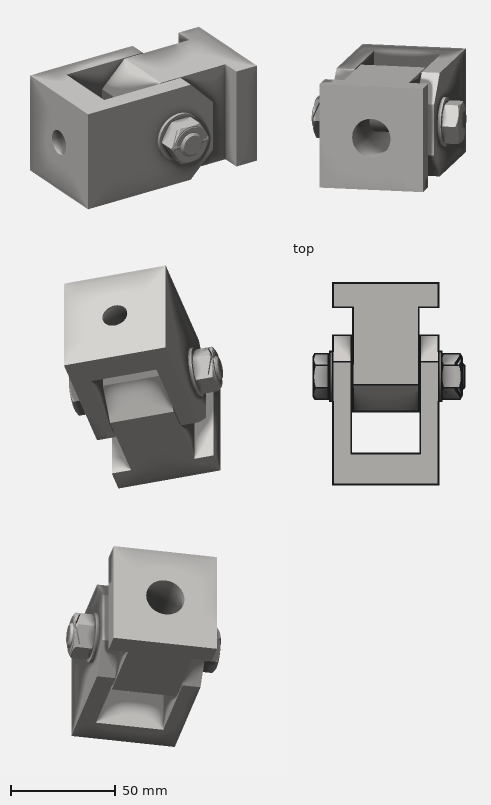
import cadquery as cq
import math


BLOCK_SIZE = 50.8
FORK_TIP_Y = 19.9
FORK_SLOT_Y = -37.0
FORK_BASE_Y = -52.0
SLOT_WIDTH = 33.1
TONGUE_WIDTH = 31.7
TONGUE_TIP_Y = -16.9
FLANGE_INNER_Y = 33.2
OVERALL_LENGTH = 97
FLANGE_OUTER_Y = FORK_BASE_Y + OVERALL_LENGTH
CORNER_CHAMFER = 12.9
FORK_HOLE_DIAMETER = 12.4
TONGUE_HOLE_DIAMETER = 18.8

BOLT_DIAMETER = 12.0
BOLT_END_X = 38.0
BOLT_END_CHAMFER = 1.0
GROOVE_START_X = 15.9
GROOVE_DEPTH = 1.0
GROOVE_FLANK_ANGLE = 60
HEX_FLATS = 19.0
HEX_CHAMFER_ANGLE = 30
HEAD_HEIGHT = 7.4
HEAD_FACE_DIAMETER = 18.6
COLLAR_DIAMETER = 18.8
COLLAR_HEIGHT = 0.6
WASHER_DIAMETER = 24.1
WASHER_THICKNESS = 1.6
NUT_HEIGHT = 9.5
NUT_COLLAR_DIAMETER = 17.7
NUT_COLLAR_HEIGHT = 0.3
NUT_FACE_DIAMETER = 18.8
NUT_SEAT_DIAMETER = 19.8
SLIT_ANGLE = 20
SLIT_REACH = 8.1
SLIT_WIDTH = 0.6

HALF_BLOCK = BLOCK_SIZE / 2
HEX_CORNERS = HEX_FLATS / math.cos(math.radians(30))
HEAD_SEAT_X = -HALF_BLOCK - WASHER_THICKNESS
NUT_SEAT_X = HALF_BLOCK + WASHER_THICKNESS
NUT_HEX_END_X = NUT_SEAT_X + NUT_HEIGHT
NUT_END_X = NUT_HEX_END_X + NUT_COLLAR_HEIGHT


def block(width, y_min, y_max):
    """Full-height block centred on X and Z between two Y positions."""
    return cq.Workplane("XY").box(width, y_max - y_min, BLOCK_SIZE).translate((0, (y_min + y_max) / 2, 0))


def x_cylinder(diameter, x_start, x_end):
    """Cylinder on the bolt axis."""
    return cq.Workplane("YZ", origin=(x_start, 0, 0)).circle(diameter / 2).extrude(x_end - x_start)


def x_revolve(profile):
    """Solid of revolution about the bolt axis from (x, radius) points."""
    return cq.Workplane("XY").polyline(profile).close().revolve(360, (0, 0, 0), (1, 0, 0))


def y_cylinder(diameter, y_min, y_max):
    """Cylinder along Y that crosses the middle of the bolt axis."""
    return cq.Workplane("XZ", origin=(0, y_max, 0)).circle(diameter / 2).extrude(y_max - y_min)


def hexagon(x_start, x_end):
    """Hexagonal prism on the bolt axis with flats at top and bottom."""
    return cq.Workplane("YZ", origin=(x_start, 0, 0)).polygon(6, HEX_CORNERS).extrude(x_end - x_start)


def corner_cone(face_x, face_diameter, far_x):
    """Cone that widens from the circle left on a turned hexagon face towards the far face."""
    face_radius = face_diameter / 2
    far_radius = face_radius + abs(far_x - face_x) / math.tan(math.radians(HEX_CHAMFER_ANGLE))
    return x_revolve([(face_x, 0), (face_x, face_radius), (far_x, far_radius), (far_x, 0)])


def make_fork():
    body = block(BLOCK_SIZE, FORK_BASE_Y, FORK_TIP_Y).faces(">Y").edges("|X").chamfer(CORNER_CHAMFER)
    body = body.cut(block(SLOT_WIDTH, FORK_SLOT_Y, FORK_TIP_Y))
    body = body.cut(x_cylinder(BOLT_DIAMETER, -HALF_BLOCK, HALF_BLOCK))
    return body.cut(y_cylinder(FORK_HOLE_DIAMETER, FORK_BASE_Y, FORK_SLOT_Y))


def make_tongue():
    body = block(TONGUE_WIDTH, TONGUE_TIP_Y, FLANGE_OUTER_Y).faces("<Y").edges("|X").chamfer(CORNER_CHAMFER)
    body = body.union(block(BLOCK_SIZE, FLANGE_INNER_Y, FLANGE_OUTER_Y))
    body = body.cut(x_cylinder(BOLT_DIAMETER, -TONGUE_WIDTH / 2, TONGUE_WIDTH / 2))
    return body.cut(y_cylinder(TONGUE_HOLE_DIAMETER, TONGUE_TIP_Y, FLANGE_OUTER_Y))


def make_bolt():
    head_bottom_x = HEAD_SEAT_X - COLLAR_HEIGHT
    head_top_x = head_bottom_x - HEAD_HEIGHT
    head = hexagon(head_top_x, head_bottom_x)
    head = head.intersect(corner_cone(head_top_x, HEAD_FACE_DIAMETER, head_bottom_x))
    collar = x_cylinder(COLLAR_DIAMETER, head_bottom_x, HEAD_SEAT_X)
    radius = BOLT_DIAMETER / 2
    flank_length = GROOVE_DEPTH / math.tan(math.radians(GROOVE_FLANK_ANGLE))
    shank = x_revolve([
        (HEAD_SEAT_X, 0),
        (HEAD_SEAT_X, radius),
        (GROOVE_START_X, radius),
        (GROOVE_START_X + flank_length, radius - GROOVE_DEPTH),
        (GROOVE_START_X + 2 * flank_length, radius),
        (BOLT_END_X - BOLT_END_CHAMFER, radius),
        (BOLT_END_X, radius - BOLT_END_CHAMFER),
        (BOLT_END_X, 0),
    ])
    return head.union(collar).union(shank)


def make_washer(x_start):
    ring = x_cylinder(WASHER_DIAMETER, x_start, x_start + WASHER_THICKNESS)
    return ring.cut(x_cylinder(BOLT_DIAMETER, x_start, x_start + WASHER_THICKNESS))


def nut_slit(side):
    """Cutter for one locking slit: a thin sloping slot through the nut along Y."""
    slope = math.tan(math.radians(SLIT_ANGLE))
    half_width = SLIT_WIDTH / 2 / math.cos(math.radians(SLIT_ANGLE))
    inner_x = NUT_END_X - SLIT_REACH * slope
    outline = [
        (NUT_END_X - half_width, 0),
        (NUT_END_X + half_width, 0),
        (inner_x + half_width, side * SLIT_REACH),
        (inner_x - half_width, side * SLIT_REACH),
    ]
    return cq.Workplane("XZ").polyline(outline).close().extrude(HEX_CORNERS / 2, both=True)


def make_nut():
    body = hexagon(NUT_SEAT_X, NUT_HEX_END_X)
    body = body.intersect(corner_cone(NUT_SEAT_X, NUT_SEAT_DIAMETER, NUT_HEX_END_X))
    body = body.intersect(corner_cone(NUT_HEX_END_X, NUT_FACE_DIAMETER, NUT_SEAT_X))
    body = body.union(x_cylinder(NUT_COLLAR_DIAMETER, NUT_HEX_END_X, NUT_END_X))
    body = body.cut(x_cylinder(BOLT_DIAMETER, NUT_SEAT_X, NUT_END_X))
    for side in (-1, 1):
        body = body.cut(nut_slit(side))
    return body


fork = make_fork()
tongue = make_tongue()
bolt = make_bolt()
nut = make_nut()
washers = [make_washer(x_start) for x_start in (HEAD_SEAT_X, HALF_BLOCK)]

result = cq.Compound.makeCompound([
    fork.val(),
    tongue.val(),
    bolt.val(),
    nut.val(),
    *[washer.val() for washer in washers],
])